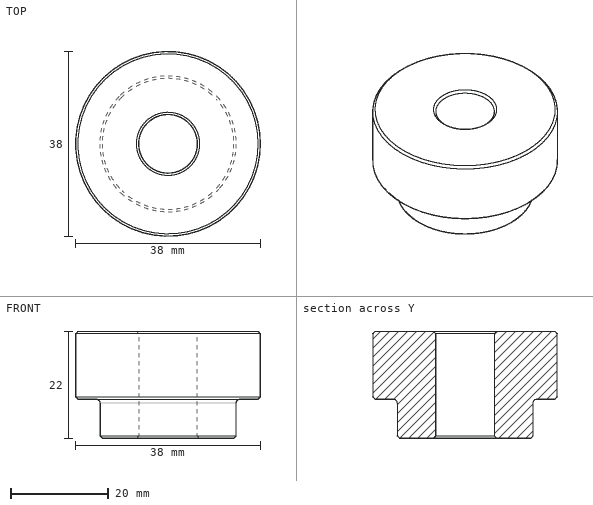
import cadquery as cq

flange_diameter = 38.0
spigot_diameter = 28.0
bore_diameter = 12.0
total_height = 22.0
flange_height = 14.0
edge_chamfer = 0.5
root_fillet = 0.8

spigot_height = total_height - flange_height
flange_radius = flange_diameter / 2
spigot_radius = spigot_diameter / 2
bore_radius = bore_diameter / 2


def stepped_profile():
    """Half section of the part, with the bore edges chamfered at both ends."""
    return (
        cq.Workplane("XZ")
        .moveTo(bore_radius + edge_chamfer, 0)
        .lineTo(spigot_radius - edge_chamfer, 0)
        .lineTo(spigot_radius, edge_chamfer)
        .lineTo(spigot_radius, spigot_height - root_fillet)
        .radiusArc((spigot_radius + root_fillet, spigot_height), root_fillet)
        .lineTo(flange_radius - edge_chamfer, spigot_height)
        .lineTo(flange_radius, spigot_height + edge_chamfer)
        .lineTo(flange_radius, total_height - edge_chamfer)
        .lineTo(flange_radius - edge_chamfer, total_height)
        .lineTo(bore_radius + edge_chamfer, total_height)
        .lineTo(bore_radius, total_height - edge_chamfer)
        .lineTo(bore_radius, edge_chamfer)
        .close()
    )


result = stepped_profile().revolve(360, (0, 0, 0), (0, 1, 0))